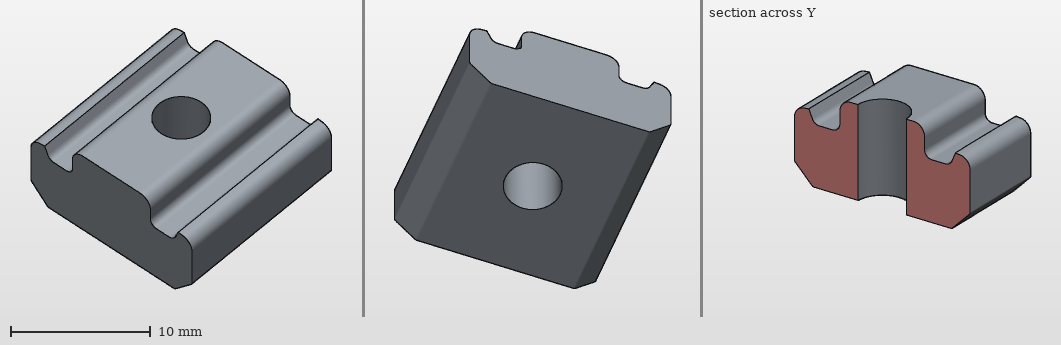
import cadquery as cq
import math

width = 15.4
length = 15.0
height = 7.6
half_width = width / 2

rib_half_width = 3.73
rib_radius = 1.0
hole_diameter = 4.2

groove_floor_z = 5.0
groove_radius = 0.6
groove_wall_angle = 66.0
lip_tip_inset = 1.31
lip_tip_z = 6.1
lip_slope_angle = 5.0
lip_radius = 1.0

bottom_chamfer = 1.63
chamfer_edge_radius = 0.25

lip_tip_x = half_width - lip_tip_inset
lip_edge_z = lip_tip_z - lip_tip_inset * math.tan(math.radians(lip_slope_angle))
groove_wall_run = (lip_tip_z - groove_floor_z) / math.tan(math.radians(groove_wall_angle))
groove_outer_x = lip_tip_x - groove_wall_run

half_corners = [
    (half_width - bottom_chamfer, 0, chamfer_edge_radius),
    (half_width, bottom_chamfer, chamfer_edge_radius),
    (half_width, lip_edge_z, lip_radius),
    (lip_tip_x, lip_tip_z, 0),
    (groove_outer_x, groove_floor_z, groove_radius),
    (rib_half_width, groove_floor_z, groove_radius),
    (rib_half_width, height, rib_radius),
]


def extruded_profile():
    """Mirror the half outline about X = 0 and extrude it, centred on Y = 0."""
    right_side = [(x, z) for x, z, radius in half_corners]
    left_side = [(-x, z) for x, z in reversed(right_side)]
    outline = cq.Workplane("XZ").polyline(right_side + left_side).close()
    return outline.extrude(length / 2, both=True)


def round_long_edges(body):
    """Round the lengthwise edges at the corners that have a radius."""
    for x, z, radius in half_corners:
        if radius > 0:
            for edge_x in (x, -x):
                edge = cq.selectors.NearestToPointSelector((edge_x, 0, z))
                body = body.edges("|Y").edges(edge).fillet(radius)
    return body


def hole_cutter():
    """Vertical cylinder through the full height at the centre."""
    return cq.Workplane("XY").circle(hole_diameter / 2).extrude(height)


result = round_long_edges(extruded_profile()).cut(hole_cutter())